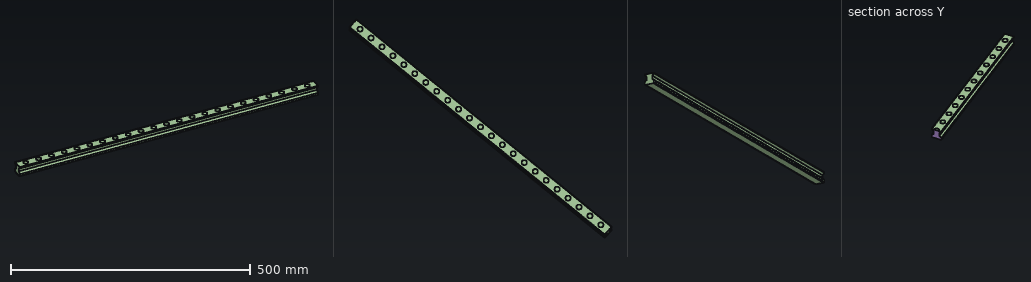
import cadquery as cq

rail_width = 23.0
rail_length = 700.0
rail_height = 23.6

base_chamfer = 1.5
top_chamfer = 0.4
raceway_mid_height = 14.05
raceway_mouth = 15.5
waist_width = 13.9

hole_pitch = 30.0
hole_end_distance = 20.0
hole_diameter = 11.0
hole_cap_recess = 0.2


def make_rail_body():
    """Extrude the waisted section along Y, centred on the origin in X and Y."""
    half_width = rail_width / 2
    half_waist = waist_width / 2
    half_mouth = raceway_mouth / 2
    half_waist_height = half_mouth - (half_width - half_waist)
    right_side = [
        (half_width - base_chamfer, 0),
        (half_width, base_chamfer),
        (half_width, raceway_mid_height - half_mouth),
        (half_waist, raceway_mid_height - half_waist_height),
        (half_waist, raceway_mid_height + half_waist_height),
        (half_width, raceway_mid_height + half_mouth),
        (half_width, rail_height - top_chamfer),
        (half_width - top_chamfer, rail_height),
    ]
    left_side = [(-x, z) for x, z in reversed(right_side)]
    return (
        cq.Workplane("XZ")
        .polyline(right_side + left_side)
        .close()
        .extrude(rail_length / 2, both=True)
    )


def make_hole_recesses():
    """Discs to remove above the hole caps, in one row along the top centreline."""
    hole_count = round((rail_length - 2 * hole_end_distance) / hole_pitch) + 1
    first_hole_y = -rail_length / 2 + hole_end_distance
    centres = [(0, first_hole_y + i * hole_pitch) for i in range(hole_count)]
    return (
        cq.Workplane("XY", origin=(0, 0, rail_height))
        .pushPoints(centres)
        .circle(hole_diameter / 2)
        .extrude(-hole_cap_recess)
    )


result = make_rail_body().cut(make_hole_recesses())